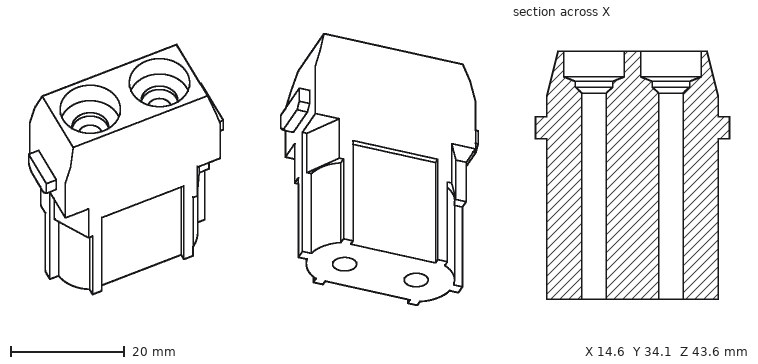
import cadquery as cq

body_x = 14.55
body_y = 30.2
body_z = 43.6
half_x = body_x / 2
half_y = body_y / 2
bevel_drop_per_mm = 4.0
side_bevel = 1.0
end_bevel = 2.0

tab_length = 1.95
tab_top_z = 32.1
tab_height = 3.9
tab_chamfer = 1.1
front_tab_width = 7.2
rear_tab_width = 9.0

hole_y = 6.75
mouth_radius = 5.3
mouth_depth = 4.5
throat_radius = 3.25
funnel_depth = 0.8
bore_radius = 2.1
throat_depth = 1.0
taper_depth = 1.1

flat_top_z = 25.4
sleeve_top_z = 17.0
flat_start_y = 10.6
narrow_flat_x = 2.8
narrow_flat_y = 13.15
wide_flat_x = 1.0
wide_flat_y = 14.25
sleeve_radius = 6.75
sleeve_shoulder_y = 9.8
end_rib_half_width = 1.0

recess_width = 16.0
recess_height = 21.4
recess_depth = 1.1


def bevelled_profile(plane, half_width, bevel, length):
    """Block outline with both top corners bevelled, extruded evenly about the plane."""
    bevel_z = body_z - bevel * bevel_drop_per_mm
    return (
        cq.Workplane(plane)
        .moveTo(-half_width, 0)
        .lineTo(half_width, 0)
        .lineTo(half_width, bevel_z)
        .lineTo(half_width - bevel, body_z)
        .lineTo(-half_width + bevel, body_z)
        .lineTo(-half_width, bevel_z)
        .close()
        .extrude(length / 2, both=True)
    )


def make_body():
    side_bevelled = bevelled_profile("XZ", half_x, side_bevel, body_y)
    end_bevelled = bevelled_profile("YZ", half_y, end_bevel, body_x)
    return side_bevelled.intersect(end_bevelled)


def make_tab(width, end):
    """Tab with chamfered lower corners; end is -1 for the -Y end, +1 for the +Y end."""
    return (
        cq.Workplane("XY")
        .box(width, tab_length, tab_height)
        .edges("|Y and <Z")
        .chamfer(tab_chamfer)
        .translate((0, end * (half_y + tab_length / 2), tab_top_z - tab_height / 2))
    )


def make_hole(y):
    """Stepped hole: straight mouth, shallow funnel, straight throat, taper and through bore."""
    funnel_top_z = body_z - mouth_depth
    throat_top_z = funnel_top_z - funnel_depth
    taper_top_z = throat_top_z - throat_depth
    bore_top_z = taper_top_z - taper_depth
    return (
        cq.Workplane("XZ")
        .moveTo(0, 0)
        .lineTo(bore_radius, 0)
        .lineTo(bore_radius, bore_top_z)
        .lineTo(throat_radius, taper_top_z)
        .lineTo(throat_radius, throat_top_z)
        .lineTo(mouth_radius, funnel_top_z)
        .lineTo(mouth_radius, body_z)
        .lineTo(0, body_z)
        .close()
        .revolve(360, (0, 0, 0), (0, 1, 0))
        .translate((0, y, 0))
    )


def flat_cutout(flat_x, flat_y):
    """Cutout at the -X, -Y corner leaving an angled flat and a step beside the end rib."""
    return (
        cq.Workplane("XY")
        .moveTo(-half_x, -half_y)
        .lineTo(-half_x, -flat_start_y)
        .lineTo(-flat_x, -flat_y)
        .lineTo(-flat_x, -half_y)
        .close()
        .extrude(flat_top_z)
    )


def sleeve_cutout():
    """Cutout at the -X, -Y corner leaving a round sleeve wall about the hole axis."""
    corner = (
        cq.Workplane("XY")
        .box(half_x - end_rib_half_width, half_y - sleeve_shoulder_y, sleeve_top_z, centered=False)
        .translate((-half_x, -half_y, 0))
    )
    sleeve = cq.Workplane("XY").center(0, -hole_y).circle(sleeve_radius).extrude(sleeve_top_z)
    return corner.cut(sleeve)


def corner_cutouts():
    """The -Y corners, and the same two turned half a revolution about Z."""
    narrow = flat_cutout(narrow_flat_x, narrow_flat_y).union(sleeve_cutout())
    wide = flat_cutout(wide_flat_x, wide_flat_y).union(sleeve_cutout()).mirror("YZ")
    front_pair = narrow.union(wide)
    rear_pair = front_pair.rotate((0, 0, 0), (0, 0, 1), 180)
    return front_pair.union(rear_pair)


def side_recess(side):
    return (
        cq.Workplane("XY")
        .box(recess_depth, recess_width, recess_height)
        .translate((side * (half_x - recess_depth / 2), 0, recess_height / 2))
    )


result = make_body()
result = result.union(make_tab(front_tab_width, -1))
result = result.union(make_tab(rear_tab_width, 1))
result = result.cut(corner_cutouts())
for sign in (-1, 1):
    result = result.cut(side_recess(sign))
    result = result.cut(make_hole(sign * hole_y))